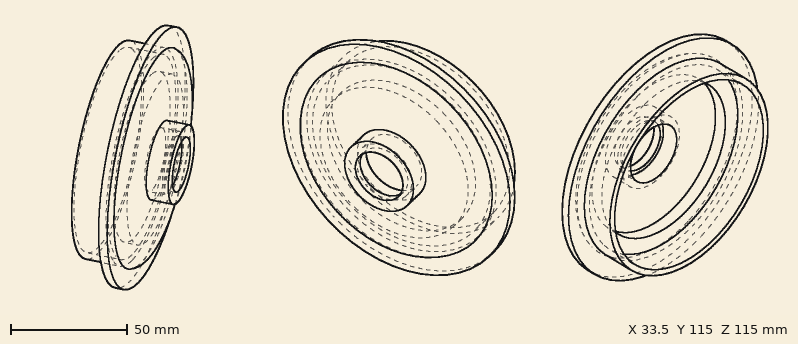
import cadquery as cq

flange_start = 15.5
flange_thickness = 3.9
flange_end = flange_start + flange_thickness
dome_end = 23.5
hub_end = 33.5

flange_diameter = 115.0
rim_diameter = 95.8
dome_diameter = 97.5
hub_diameter = 34.8
dome_round = 5.8

cavity_diameter = 90.0
cavity_depth = flange_start
recess_diameter = 75.0
recess_depth = 21.5
hub_bore_diameter = 28.0
hub_bore_depth = 29.5
through_diameter = 24.0


def disc(diameter, start, end):
    """Solid cylinder on the X axis between two axial stations."""
    return cq.Workplane("YZ", origin=(start, 0, 0)).circle(diameter / 2).extrude(end - start)


rim = disc(rim_diameter, 0, flange_end)
flange = disc(flange_diameter, flange_start, flange_end)
dome = disc(dome_diameter, flange_start, dome_end).faces(">X").edges().fillet(dome_round)
hub = disc(hub_diameter, flange_end, hub_end)
body = rim.union(flange).union(dome).union(hub)

for diameter, depth in (
    (cavity_diameter, cavity_depth),
    (recess_diameter, recess_depth),
    (hub_bore_diameter, hub_bore_depth),
    (through_diameter, hub_end),
):
    body = body.cut(disc(diameter, 0, depth))

result = body